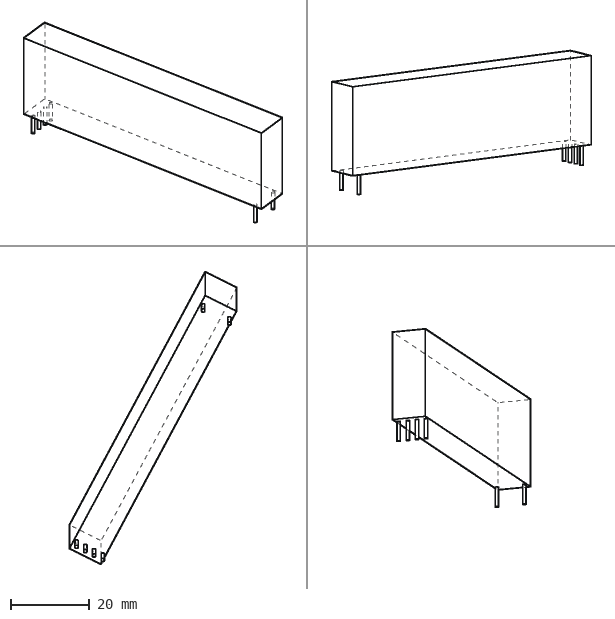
import cadquery as cq

housing_length = 75.0
housing_width = 9.0
housing_height = 23.0

pin_diameter = 0.9
pin_length = 5.1
pin_pitch = 2.5
pin_end_spacing = 70.0

row_count = 4
left_end_rows = range(row_count)
right_end_rows = (0, row_count - 1)


def make_housing():
    return cq.Workplane("XY").box(
        housing_length, housing_width, housing_height, centered=(True, True, False)
    )


def row_y(row):
    """Y position of a pin row, with the rows centred on the housing."""
    return (row - (row_count - 1) / 2) * pin_pitch


def make_pin(x, y):
    """One straight round pin hanging from the underside of the housing."""
    return cq.Workplane("XY").center(x, y).circle(pin_diameter / 2).extrude(-pin_length)


housing = make_housing()

pins = []
for end_x, rows in ((-pin_end_spacing / 2, left_end_rows), (pin_end_spacing / 2, right_end_rows)):
    for row in rows:
        pins.append(make_pin(end_x, row_y(row)))

result = cq.Compound.makeCompound([housing.val(), *[pin.val() for pin in pins]])